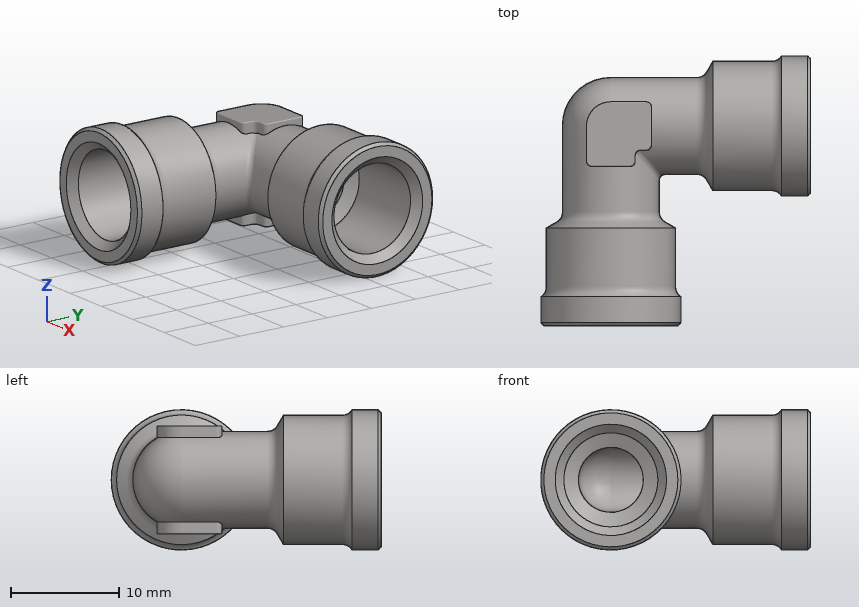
import cadquery as cq
import math

arm_length = 18.5
tube_radius = 9.0 / 2
socket_radius = 12.0 / 2
collar_radius = 13.0 / 2
collar_length = 2.7
collar_chamfer = 0.3

flare_angle = math.radians(60)
blend_radius = 1.0
blend_length = blend_radius * math.sin(flare_angle)
blend_rise = blend_radius * (1 - math.cos(flare_angle))
half_blend_length = blend_radius * math.sin(flare_angle / 2)
half_blend_rise = blend_radius * (1 - math.cos(flare_angle / 2))
tube_end = 8.0
cone_length = (socket_radius - tube_radius - blend_rise) / math.tan(flare_angle)
collar_start = arm_length - collar_length
socket_end = collar_start - blend_length

passage_radius = 6.0 / 2
bore_radius = 8.7 / 2
bore_depth = 9.0
seat_angle = math.radians(68)
seat_length = (bore_radius - passage_radius) / math.tan(seat_angle)
mouth_radius = 10.3 / 2
mouth_depth = 0.8

pad_height = 5.0
pad_near = 2.25
pad_far = 3.75
pad_corner_radius = 0.5
pad_edge_radius = 0.1
crotch_radius = 0.5


def outer_tube():
    """Plain tube of one arm, along +X from the bend centre."""
    return cq.Workplane("YZ").circle(tube_radius).extrude(tube_end)


def outer_socket():
    """Flare, socket and collar of one arm, turned about X."""
    blend_end = tube_end + blend_length
    return (
        cq.Workplane("XY")
        .moveTo(tube_end, 0)
        .lineTo(tube_end, tube_radius)
        .threePointArc(
            (tube_end + half_blend_length, tube_radius + half_blend_rise),
            (blend_end, tube_radius + blend_rise),
        )
        .lineTo(blend_end + cone_length, socket_radius)
        .lineTo(socket_end, socket_radius)
        .threePointArc(
            (socket_end + half_blend_length, socket_radius + half_blend_rise),
            (collar_start, collar_radius),
        )
        .lineTo(arm_length - collar_chamfer, collar_radius)
        .lineTo(arm_length, collar_radius - collar_chamfer)
        .lineTo(arm_length, 0)
        .close()
        .revolve(360, (0, 0, 0), (1, 0, 0))
    )


def arm_bore():
    """Stepped bore of one arm, turned about X."""
    bore_bottom = arm_length - bore_depth
    return (
        cq.Workplane("XY")
        .lineTo(0, passage_radius)
        .lineTo(bore_bottom - seat_length, passage_radius)
        .lineTo(bore_bottom, bore_radius)
        .lineTo(arm_length - mouth_depth, bore_radius)
        .lineTo(arm_length, mouth_radius)
        .lineTo(arm_length, 0)
        .close()
        .revolve(360, (0, 0, 0), (1, 0, 0))
    )


def both_arms(arm):
    """Join an arm along +X with its copy turned to -Y."""
    return arm.union(arm.rotate((0, 0, 0), (0, 0, 1), -90))


def bend():
    """Two tubes closed by a ball, with the inner crotch rounded."""
    tubes = both_arms(outer_tube()).union(cq.Workplane("XY").sphere(tube_radius))
    return tubes.edges("%ELLIPSE").fillet(crotch_radius)


def pads():
    """L-shaped pads standing out above and below the bend."""
    outer_bend_corner = cq.selectors.NearestToPointSelector((-pad_near, pad_near, 0))
    other_corners = cq.selectors.StringSyntaxSelector("|Z") - outer_bend_corner
    outline = [
        (-pad_near, pad_near),
        (pad_far, pad_near),
        (pad_far, -pad_near),
        (pad_near, -pad_near),
        (pad_near, -pad_far),
        (-pad_near, -pad_far),
    ]
    block = cq.Workplane("XY").polyline(outline).close().extrude(pad_height, both=True)
    block = block.edges(other_corners).fillet(pad_corner_radius)
    block = block.edges(outer_bend_corner).fillet(pad_near)
    return block.faces("<Z or >Z").edges().fillet(pad_edge_radius)


result = both_arms(outer_socket()).union(bend()).union(pads())
result = result.cut(both_arms(arm_bore()))
result = result.cut(cq.Workplane("XY").sphere(passage_radius))